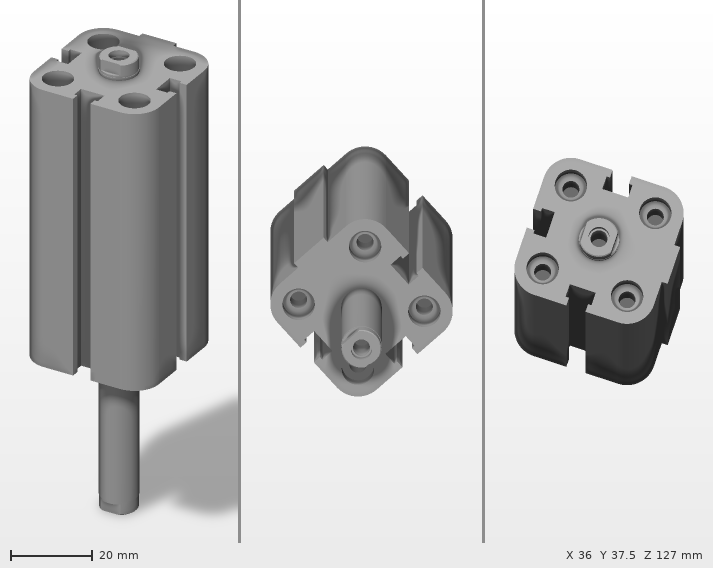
import cadquery as cq

TOTAL_LENGTH = 127.0
HOUSING_LENGTH = 78.0
ROD_TOP_LENGTH = 4.5
HOUSING_TOP = TOTAL_LENGTH - ROD_TOP_LENGTH
HOUSING_BOTTOM = HOUSING_TOP - HOUSING_LENGTH

HOUSING_WIDTH = 36.0
RIDGE_WIDTH = 9.8
RIDGE_HEIGHT = 1.5

HOLE_SPACING = 22.0
CORNER_RADIUS = (HOUSING_WIDTH - HOLE_SPACING) / 2
HOLE_DIAMETER = 4.2
HOLE_DEPTH = 10.0
COUNTERBORE_DIAMETER = 8.0
COUNTERBORE_DEPTH = 3.8

SLOT_MOUTH_WIDTH = 5.0
SLOT_INNER_WIDTH = 6.7
SLOT_DEPTH = 5.3
SLOT_LIP = 2.0
SLOT_ANGLES = (0, 90, -90)

ROD_DIAMETER = 10.0
TIP_DIAMETER = 9.8
TIP_LENGTH = 3.7
TIP_CHAMFER = 0.3
FLATS_WIDTH = 8.0
FLATS_LENGTH = 3.0
ROD_HOLE_DIAMETER = 4.2
ROD_HOLE_MOUTH_DIAMETER = 5.2
ROD_HOLE_DEPTH = 12.7
ROD_HOLE_MOUTH_DEPTH = 1.8


def make_slot(angle):
    """T-slot cutter for the -Y side, turned about Z to the side it belongs to."""
    outer_y = -HOUSING_WIDTH / 2
    lip_y = outer_y + SLOT_LIP
    floor_y = outer_y + SLOT_DEPTH
    mouth_x = SLOT_MOUTH_WIDTH / 2
    inner_x = SLOT_INNER_WIDTH / 2
    outline = [
        (-mouth_x, outer_y),
        (-mouth_x, lip_y),
        (-inner_x, lip_y),
        (-inner_x, floor_y),
        (inner_x, floor_y),
        (inner_x, lip_y),
        (mouth_x, lip_y),
        (mouth_x, outer_y),
    ]
    profile = cq.Workplane("XY").workplane(offset=HOUSING_BOTTOM).polyline(outline).close()
    slot = profile.extrude(HOUSING_LENGTH)
    return slot.rotate((0, 0, 0), (0, 0, 1), angle)


def make_housing():
    base = cq.Workplane("XY").workplane(offset=HOUSING_BOTTOM)
    block = base.rect(HOUSING_WIDTH, HOUSING_WIDTH).extrude(HOUSING_LENGTH)
    housing = block.edges("|Z").fillet(CORNER_RADIUS)

    ridge_reach = HOUSING_WIDTH / 2 + RIDGE_HEIGHT
    ridge = base.center(0, ridge_reach / 2).rect(RIDGE_WIDTH, ridge_reach).extrude(HOUSING_LENGTH)
    housing = housing.union(ridge)

    for angle in SLOT_ANGLES:
        housing = housing.cut(make_slot(angle))

    for face_z, inward in ((HOUSING_TOP, -1.3), (HOUSING_BOTTOM, 1.3)):
        face = cq.Workplane("XY").workplane(offset=face_z)
        corners = face.rect(HOLE_SPACING, HOLE_SPACING, forConstruction=True).vertices()
        housing = housing.cut(corners.circle(HOLE_DIAMETER / 2).extrude(inward * HOLE_DEPTH))
        housing = housing.cut(corners.circle(COUNTERBORE_DIAMETER / 2).extrude(inward * COUNTERBORE_DEPTH))

    rod_bore = base.circle(ROD_DIAMETER / 2).extrude(HOUSING_LENGTH)
    return housing.cut(rod_bore)


def make_tip():
    """Rod tip standing on Z = 0 and pointing up, with two flats facing -Y and +Y."""
    tip = cq.Workplane("XY").circle(TIP_DIAMETER / 2).extrude(TIP_LENGTH).faces(">Z").chamfer(TIP_CHAMFER)
    flats = (
        cq.Workplane("XY")
        .workplane(offset=TIP_LENGTH - FLATS_LENGTH)
        .rect(TIP_DIAMETER, TIP_DIAMETER)
        .rect(TIP_DIAMETER, FLATS_WIDTH)
        .extrude(FLATS_LENGTH)
    )
    return tip.cut(flats)


def make_rod():
    shank_length = TOTAL_LENGTH - 2 * TIP_LENGTH
    shank = cq.Workplane("XY").workplane(offset=TIP_LENGTH).circle(ROD_DIAMETER / 2).extrude(shank_length)
    top_tip = make_tip().translate((0, 0, TOTAL_LENGTH - TIP_LENGTH))
    bottom_tip = make_tip().mirror("XY").translate((0, 0, TIP_LENGTH))
    rod = shank.union(top_tip).union(bottom_tip)

    for end_z, inward in ((TOTAL_LENGTH, -1), (0, 1)):
        end = cq.Workplane("XY").workplane(offset=end_z)
        rod = rod.cut(end.circle(ROD_HOLE_DIAMETER / 2).extrude(inward * ROD_HOLE_DEPTH))
        rod = rod.cut(end.circle(ROD_HOLE_MOUTH_DIAMETER / 2).extrude(inward * ROD_HOLE_MOUTH_DEPTH))
    return rod


housing = make_housing()
rod = make_rod()

result = cq.Compound.makeCompound([housing.val(), rod.val()])